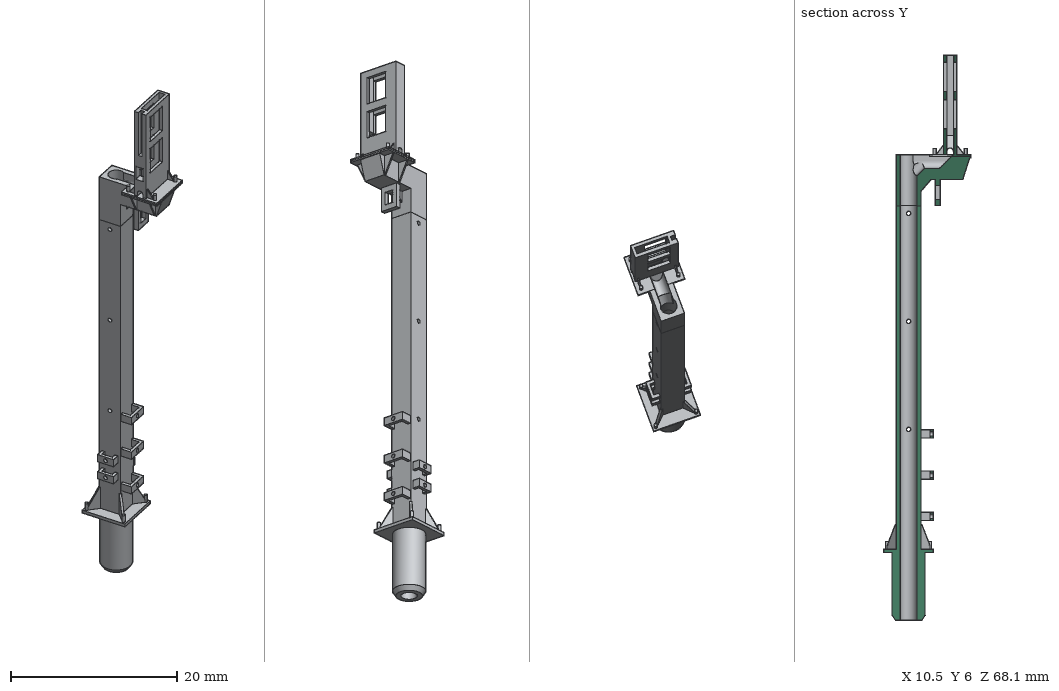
import cadquery as cq
import math


total_height = 68.1
base_gusset_thickness = 0.3
top_gusset_thickness = 0.2

post_width = 3.0
bore_diameter = 2.0
spigot_diameter = 4.0
spigot_height = 8.2
spigot_chamfer_height = 0.6
spigot_chamfer_width = 0.4
flange_width = 6.0
flange_thickness = 0.4
post_top = 50.0
base_gusset_height = 3.0
base_gusset_reach = 2.65
base_bolt_diameter = 0.4
base_bolt_height = 0.95
base_bolt_offset = 2.6
cross_hole_diameter = 0.5
cross_hole_top = 49.0
cross_hole_pitch = 13.0
cross_hole_count = 3

loop_height = 1.0
loop_wall = 0.4
loop_hole_diameter = 0.5
side_loop_width = 2.25
side_loop_reach = 1.0
side_loop_heights = [13.95, 16.4]
back_loop_width = 2.85
back_loop_reach = 1.5
back_loop_lowest = 12.5
back_loop_pitch = 5.0
back_loop_count = 3

arm_depth = 3.0
elbow_height = 6.1
arm_end_bottom = 6.55
platform_length = 5.0
platform_width = 6.0
platform_thickness = 0.2
platform_end = 7.5
side_gusset_spacing = 2.65
side_gusset_top_reach = 2.8
corner_rib_length = 1.2
corner_rib_height = 1.4
channel_width = 1.65
channel_depth = 1.65
channel_floor_start = 1.9
channel_floor_end = 3.75
tab_start = 3.2
tab_thickness = 0.6
tab_width = 2.4
tab_window_width = 1.15
tab_window_height = 1.65
tab_window_margin = 0.75

foot_thickness = 0.2
head_thickness = 1.65
head_width = 5.5
window_width = 2.85
window_height = 3.5
window_center_y = -0.305
window_top_margin = 0.9
window_pitch = 4.5
slot_thickness = 0.8
slot_front = -1.8
slot_back = 2.4
slot_floor_height = 2.3
groove_width = 0.5
groove_depth = 0.6
groove_length = 6.1
pocket_left_wall = 0.2
pocket_width = 1.0
pocket_height = 1.85
arch_diameter = 0.75
arch_center_height = 0.4
head_gusset_height = 1.15
head_gusset_length = 0.9
head_gusset_offset = 2.4
foot_bolt_diameter = 0.4
foot_bolt_height = 0.75
foot_bolt_spacing = 3.75

half_post = post_width / 2
flange_top = spigot_height + flange_thickness
elbow_top = post_top + elbow_height
arm_bottom = elbow_top - arm_depth
foot_bottom = elbow_top - foot_thickness
platform_start = platform_end - platform_length
head_x = platform_end - platform_length / 2
head_left = head_x - head_thickness / 2


def box(x_range, y_range, z_range):
    """Box between two limits along each axis."""
    (x0, x1), (y0, y1), (z0, z1) = x_range, y_range, z_range
    return cq.Workplane("XY").box(x1 - x0, y1 - y0, z1 - z0, centered=False).translate((x0, y0, z0))


def cylinder(diameter, height, x, y, z):
    """Upright cylinder standing at (x, y, z)."""
    return cq.Workplane("XY").circle(diameter / 2).extrude(height).translate((x, y, z))


def plate_xz(points, thickness, y=0):
    """Plate with an outline in the XZ plane, centred on y."""
    return cq.Workplane("XZ").polyline(points).close().extrude(thickness / 2, both=True).translate((0, y, 0))


def plate_yz(points, thickness, x):
    """Plate with an outline in the YZ plane, centred on x."""
    return cq.Workplane("YZ").polyline(points).close().extrude(thickness / 2, both=True).translate((x, 0, 0))


def hole_along_y(diameter, length, x, z):
    """Cylinder along Y, centred on the plane Y = 0."""
    return cq.Workplane("XZ").circle(diameter / 2).extrude(length / 2, both=True).translate((x, 0, z))


def wire_loop(width, reach):
    """Square loop on the +X post face with a hole in its outer wall, centred on Z = 0."""
    outer_x = half_post + reach
    half_width = width / 2
    z_range = (-loop_height / 2, loop_height / 2)
    frame = box((half_post, outer_x), (-half_width, half_width), z_range)
    inner_half = half_width - loop_wall
    opening = box((half_post, outer_x - loop_wall), (-inner_half, inner_half), z_range)
    hole = cq.Workplane("YZ").circle(loop_hole_diameter / 2).extrude(reach).translate((half_post, 0, 0))
    return frame.cut(opening).cut(hole)


def base_gusset():
    """Diagonal triangular web standing on the flange, along +X before it is turned."""
    corner = half_post * math.sqrt(2)
    tip = base_gusset_reach * math.sqrt(2)
    outline = [
        (0, flange_top),
        (tip, flange_top),
        (corner, flange_top + base_gusset_height),
        (0, flange_top + base_gusset_height),
    ]
    return plate_xz(outline, base_gusset_thickness)


def make_post():
    spigot = cylinder(spigot_diameter, spigot_height, 0, 0, 0)
    spigot = spigot.faces("<Z").chamfer(spigot_chamfer_height, spigot_chamfer_width)
    half_flange = flange_width / 2
    flange_range = (-half_flange, half_flange)
    body = spigot.union(box(flange_range, flange_range, (spigot_height, flange_top)))
    post_range = (-half_post, half_post)
    body = body.union(box(post_range, post_range, (spigot_height, post_top)))

    for quarter in range(4):
        angle = 45 + 90 * quarter
        body = body.union(base_gusset().rotate((0, 0, 0), (0, 0, 1), angle))
    for x in (-base_bolt_offset, base_bolt_offset):
        for y in (-base_bolt_offset, base_bolt_offset):
            body = body.union(cylinder(base_bolt_diameter, base_bolt_height, x, y, flange_top))

    for z in side_loop_heights:
        for angle in (-90, 90):
            loop = wire_loop(side_loop_width, side_loop_reach).rotate((0, 0, 0), (0, 0, 1), angle)
            body = body.union(loop.translate((0, 0, z)))
    for index in range(back_loop_count):
        loop_z = back_loop_lowest + index * back_loop_pitch
        body = body.union(wire_loop(back_loop_width, back_loop_reach).translate((0, 0, loop_z)))

    body = body.cut(cylinder(bore_diameter, post_top, 0, 0, 0))
    for index in range(cross_hole_count):
        hole_z = cross_hole_top - index * cross_hole_pitch
        body = body.cut(hole_along_y(cross_hole_diameter, post_width, 0, hole_z))
    return body


def foot_plate():
    half_platform = platform_width / 2
    y_range = (-half_platform, half_platform)
    return box((platform_start, platform_end), y_range, (foot_bottom, elbow_top))


def wire_channel():
    """Round-bottomed channel along the arm, sloping down into the bore and up out of the arm end."""
    radius = channel_width / 2
    floor_z = elbow_top - channel_depth
    axis_z = floor_z + radius
    ramp_end = channel_floor_end + channel_depth
    tunnel = cq.Workplane("YZ").circle(radius).extrude(ramp_end).translate((0, 0, axis_z))
    slot = box((0, ramp_end), (-radius, radius), (axis_z, elbow_top))
    ramp_side = [(0, floor_z), (channel_floor_end, floor_z), (ramp_end, elbow_top), (0, elbow_top)]
    channel = tunnel.union(slot).intersect(plate_xz(ramp_side, channel_width))

    bend_x = channel_floor_start - radius * math.tan(math.radians(22.5))
    bend = cq.Plane(origin=(bend_x, 0, axis_z), xDir=(0, 1, 0), normal=(-1, 0, -1))
    return channel.union(cq.Workplane(bend).circle(radius).extrude(bend_x * math.sqrt(2)))


def tab():
    """Plate with a square window hanging below the arm."""
    x_range = (tab_start, tab_start + tab_thickness)
    plate = box(x_range, (-tab_width / 2, tab_width / 2), (post_top, arm_bottom))
    window_bottom = post_top + tab_window_margin
    half_window = tab_window_width / 2
    window_z = (window_bottom, window_bottom + tab_window_height)
    return plate.cut(box(x_range, (-half_window, half_window), window_z))


def make_bracket():
    elbow_outline = [
        (-half_post, post_top),
        (half_post, post_top),
        (half_post, arm_bottom),
        (arm_end_bottom, arm_bottom),
        (platform_end, elbow_top),
        (-half_post, elbow_top),
    ]
    body = plate_xz(elbow_outline, post_width)
    half_platform = platform_width / 2
    gusset_top = foot_bottom - platform_thickness
    platform_z = (gusset_top, foot_bottom)
    body = body.union(box((platform_start, platform_end), (-half_platform, half_platform), platform_z))

    gusset_outline = [
        (-side_gusset_top_reach, gusset_top),
        (side_gusset_top_reach, gusset_top),
        (half_post, arm_bottom),
        (-half_post, arm_bottom),
    ]
    for x in (head_x - side_gusset_spacing / 2, head_x + side_gusset_spacing / 2):
        body = body.union(plate_yz(gusset_outline, top_gusset_thickness, x))

    rib_outline = [
        (half_post, arm_bottom),
        (half_post + corner_rib_length, arm_bottom),
        (half_post, arm_bottom - corner_rib_height),
    ]
    body = body.union(plate_xz(rib_outline, top_gusset_thickness)).union(tab())
    body = body.cut(foot_plate())
    return body.cut(cylinder(bore_diameter, elbow_height, 0, 0, post_top)).cut(wire_channel())


def wiring_slot():
    """Slot down from the top of the head that tapers to the channel width at the foot."""
    floor_z = elbow_top + slot_floor_height
    outline = [
        (slot_front, total_height),
        (slot_front, floor_z),
        (-channel_width / 2, elbow_top),
        (channel_width / 2, elbow_top),
        (slot_back, floor_z),
        (slot_back, total_height),
    ]
    return plate_yz(outline, slot_thickness, head_x)


def foot_arch():
    """Round-topped passage along Y at the foot of the head."""
    half_arch = arch_diameter / 2
    center_z = elbow_top + arch_center_height
    x_range = (head_x - half_arch, head_x + half_arch)
    sides = box(x_range, (-head_width / 2, head_width / 2), (elbow_top, center_z))
    return sides.union(hole_along_y(arch_diameter, head_width, head_x, center_z))


def make_head():
    half_width = head_width / 2
    head_right = head_x + head_thickness / 2
    x_range = (head_left, head_right)
    body = box(x_range, (-half_width, half_width), (elbow_top, total_height))

    for index in range(2):
        window_top = total_height - window_top_margin - index * window_pitch
        y_range = (window_center_y - window_width / 2, window_center_y + window_width / 2)
        body = body.cut(box(x_range, y_range, (window_top - window_height, window_top)))

    groove_x = (head_x - groove_width / 2, head_x + groove_width / 2)
    groove_y = (-half_width, -half_width + groove_depth)
    body = body.cut(box(groove_x, groove_y, (total_height - groove_length, total_height)))

    pocket_x = (head_left + pocket_left_wall, head_left + pocket_left_wall + pocket_width)
    pocket_bottom = elbow_top + slot_floor_height
    pocket_z = (pocket_bottom, pocket_bottom + pocket_height)
    body = body.cut(box(pocket_x, (-half_width, slot_front), pocket_z))
    body = body.cut(wiring_slot()).cut(foot_arch())

    for side in (-1, 1):
        face_x = head_x + side * head_thickness / 2
        gusset_outline = [
            (face_x, elbow_top),
            (face_x + side * head_gusset_length, elbow_top),
            (face_x, elbow_top + head_gusset_height),
        ]
        bolt_x = head_x + side * foot_bolt_spacing / 2
        for y in (-head_gusset_offset, head_gusset_offset):
            body = body.union(plate_xz(gusset_outline, top_gusset_thickness, y))
            body = body.union(cylinder(foot_bolt_diameter, foot_bolt_height, bolt_x, y, elbow_top))
    return body.union(foot_plate().cut(wire_channel()))


post = make_post()
bracket = make_bracket()
head = make_head()

result = cq.Compound.makeCompound([post.val(), bracket.val(), head.val()])